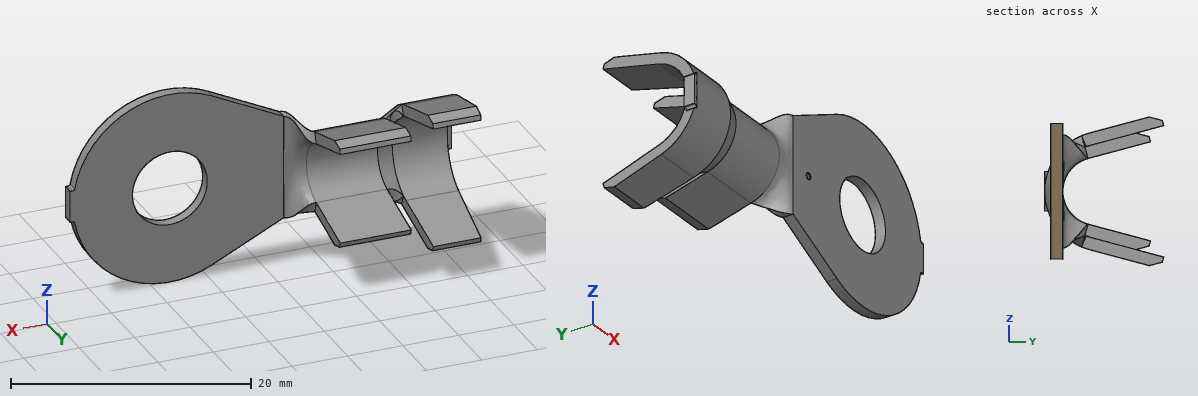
import math

import cadquery as cq

SHEET = 1.02

RING_RADIUS = 8.72
STUD_HOLE_RADIUS = 3.37
TONGUE_START_X = -10.26
TONGUE_START_HALF_WIDTH = 4.71
DIMPLE_X = -7.95
DIMPLE_RADIUS = 0.31
DIMPLE_DEPTH = 0.1

RING_TAB_END_X = 9.0
BARREL_TAB_END_X = -25.61
TAB_HALF_WIDTH = 1.43
TAB_ROOT_FILLET = 0.22
TAB_OVERLAP = 0.1

LEG_TILT = 15.0
LEG_ARC_ANGLE = 90.0 - LEG_TILT
TIP_BEVEL_ANGLE = 30.0
TIP_BEVEL_LENGTH = 1.13

WIRE_START_X = -18.71
WIRE_END_X = -12.31
WIRE_RADIUS = 3.84
WIRE_FLOOR_Y = 0.0
WIRE_TIP_Y = 8.31

INSULATION_END_X = -20.25
INSULATION_RADIUS = 5.03
INSULATION_FLOOR_Y = -0.5
INSULATION_TIP_Y = 9.41
INSULATION_FLOOR_FRONT_X = -25.3
INSULATION_TIP_FRONT_X = -24.55

SADDLE_FRONT_ARC_ANGLE = 67.0
SCALLOP_RADIUS = 0.93
SCALLOP_X = -19.6
SCALLOP_BOTTOM_Y = 2.7

NECK_STATIONS = [
    (WIRE_END_X, WIRE_RADIUS * math.sin(math.radians(LEG_ARC_ANGLE)), LEG_ARC_ANGLE),
    (-11.5, 4.1, 49.7),
    (-11.0, 4.6, 19.6),
    (TONGUE_START_X, TONGUE_START_HALF_WIDTH, 0.5),
]


def arc_point(radius, center_y, degrees):
    """Point (y, z) on a circle, the angle measured from the floor (-Y) toward +Z."""
    angle = math.radians(degrees)
    return (center_y - radius * math.cos(angle), radius * math.sin(angle))


def mirrored(point):
    return (point[0], -point[1])


def moved(point, length, degrees):
    """Point (y, z) shifted by a length along a direction measured from +Y toward +Z."""
    angle = math.radians(degrees)
    return (point[0] + length * math.cos(angle), point[1] + length * math.sin(angle))


def trough_section(workplane, radius, floor_y, half_angle):
    """Closed arc band of sheet thickness, symmetric about the XY plane."""
    center_y = floor_y + radius
    inner_radius = radius - SHEET
    outer_end = arc_point(radius, center_y, half_angle)
    inner_end = arc_point(inner_radius, center_y, half_angle)
    return (
        workplane.moveTo(*mirrored(outer_end))
        .threePointArc((floor_y, 0), outer_end)
        .lineTo(*inner_end)
        .threePointArc((floor_y + SHEET, 0), mirrored(inner_end))
        .close()
    )


def barrel(start_x, end_x, radius, floor_y, tip_y):
    """Open barrel: round floor and two tilted legs with outside bevels at the tips."""
    center_y = floor_y + radius
    outer_end = arc_point(radius, center_y, LEG_ARC_ANGLE)
    inner_end = arc_point(radius - SHEET, center_y, LEG_ARC_ANGLE)
    leg_length = (tip_y - inner_end[0]) / math.cos(math.radians(LEG_TILT))
    bevel_run = TIP_BEVEL_LENGTH * math.cos(math.radians(TIP_BEVEL_ANGLE))
    inner_tip = moved(inner_end, leg_length, LEG_TILT)
    bevel_start = moved(outer_end, leg_length - bevel_run, LEG_TILT)
    bevel_end = moved(bevel_start, TIP_BEVEL_LENGTH, LEG_TILT - TIP_BEVEL_ANGLE)
    return (
        cq.Workplane("YZ", origin=(start_x, 0, 0))
        .moveTo(*mirrored(outer_end))
        .threePointArc((floor_y, 0), outer_end)
        .lineTo(*bevel_start)
        .lineTo(*bevel_end)
        .lineTo(*inner_tip)
        .lineTo(*inner_end)
        .threePointArc((floor_y + SHEET, 0), mirrored(inner_end))
        .lineTo(*mirrored(inner_tip))
        .lineTo(*mirrored(bevel_end))
        .lineTo(*mirrored(bevel_start))
        .close()
        .extrude(end_x - start_x)
    )


def insulation_barrel():
    """Barrel whose front end leans back toward the leg tips."""
    body = barrel(
        INSULATION_FLOOR_FRONT_X,
        INSULATION_END_X,
        INSULATION_RADIUS,
        INSULATION_FLOOR_Y,
        INSULATION_TIP_Y,
    )
    waste = (
        cq.Workplane("XY")
        .polyline([
            (INSULATION_FLOOR_FRONT_X, INSULATION_FLOOR_Y),
            (INSULATION_TIP_FRONT_X, INSULATION_TIP_Y),
            (INSULATION_FLOOR_FRONT_X, INSULATION_TIP_Y),
        ])
        .close()
        .extrude(2 * INSULATION_RADIUS, both=True)
    )
    return body.cut(waste)


def saddle():
    """Trough joining the barrels, with scalloped upper edges."""
    section = trough_section(
        cq.Workplane("YZ", origin=(INSULATION_END_X, 0, 0)),
        INSULATION_RADIUS,
        INSULATION_FLOOR_Y,
        SADDLE_FRONT_ARC_ANGLE,
    )
    section = section.workplane(offset=WIRE_START_X - INSULATION_END_X)
    section = trough_section(section, WIRE_RADIUS, WIRE_FLOOR_Y, LEG_ARC_ANGLE)
    scallop = (
        cq.Workplane("XY")
        .center(SCALLOP_X, SCALLOP_BOTTOM_Y + SCALLOP_RADIUS)
        .circle(SCALLOP_RADIUS)
        .extrude(2 * INSULATION_RADIUS, both=True)
    )
    return section.loft(ruled=True).cut(scallop)


def neck():
    """Smooth transition from the round wire barrel to the flat tongue."""
    previous_x = NECK_STATIONS[0][0]
    section = cq.Workplane("YZ", origin=(previous_x, 0, 0))
    for x, half_width, half_angle in NECK_STATIONS:
        if x > previous_x:
            section = section.workplane(offset=x - previous_x)
        radius = half_width / math.sin(math.radians(half_angle))
        section = trough_section(section, radius, WIRE_FLOOR_Y, half_angle)
        previous_x = x
    return section.loft()


def extrude_from_floor(sketch, floor_y):
    """Extrude an XZ sketch one sheet thickness toward +Y, starting at floor_y."""
    return sketch.extrude(-SHEET).translate((0, floor_y, 0))


def tongue():
    """Flat ring with sides tangent to its round end, stud hole and small dimple."""
    corner_distance = math.hypot(TONGUE_START_X, TONGUE_START_HALF_WIDTH)
    corner_direction = math.atan2(TONGUE_START_HALF_WIDTH, TONGUE_START_X)
    tangent_direction = corner_direction - math.acos(RING_RADIUS / corner_distance)
    tangent_x = RING_RADIUS * math.cos(tangent_direction)
    tangent_z = RING_RADIUS * math.sin(tangent_direction)
    outline = (
        cq.Workplane("XZ")
        .moveTo(TONGUE_START_X, -TONGUE_START_HALF_WIDTH)
        .lineTo(tangent_x, -tangent_z)
        .threePointArc((RING_RADIUS, 0), (tangent_x, tangent_z))
        .lineTo(TONGUE_START_X, TONGUE_START_HALF_WIDTH)
        .close()
    )
    hole = extrude_from_floor(cq.Workplane("XZ").circle(STUD_HOLE_RADIUS), WIRE_FLOOR_Y)
    dimple = (
        cq.Workplane("XZ").center(DIMPLE_X, 0).circle(DIMPLE_RADIUS).extrude(-DIMPLE_DEPTH)
    )
    return extrude_from_floor(outline, WIRE_FLOOR_Y).cut(hole).cut(dimple)


def carrier_tab(end_x, root_x, floor_y):
    """Cut-off tab from root_x to end_x with filleted root corners."""
    outward = math.copysign(1, end_x - root_x)
    inside_x = root_x - outward * TAB_OVERLAP
    fillet_end_x = root_x + outward * TAB_ROOT_FILLET
    root_half_width = TAB_HALF_WIDTH + TAB_ROOT_FILLET
    to_arc_middle = TAB_ROOT_FILLET * (1 - math.sqrt(0.5))
    arc_middle = (root_x + outward * to_arc_middle, TAB_HALF_WIDTH + to_arc_middle)
    outline = (
        cq.Workplane("XZ")
        .moveTo(inside_x, -root_half_width)
        .lineTo(root_x, -root_half_width)
        .threePointArc(mirrored(arc_middle), (fillet_end_x, -TAB_HALF_WIDTH))
        .lineTo(end_x, -TAB_HALF_WIDTH)
        .lineTo(end_x, TAB_HALF_WIDTH)
        .lineTo(fillet_end_x, TAB_HALF_WIDTH)
        .threePointArc(arc_middle, (root_x, root_half_width))
        .lineTo(inside_x, root_half_width)
        .close()
    )
    return extrude_from_floor(outline, floor_y)


ring_tab_root_x = math.sqrt(RING_RADIUS**2 - (TAB_HALF_WIDTH + TAB_ROOT_FILLET) ** 2)

result = (
    tongue()
    .union(neck())
    .union(barrel(WIRE_START_X, WIRE_END_X, WIRE_RADIUS, WIRE_FLOOR_Y, WIRE_TIP_Y))
    .union(saddle())
    .union(insulation_barrel())
    .union(carrier_tab(RING_TAB_END_X, ring_tab_root_x, WIRE_FLOOR_Y))
    .union(carrier_tab(BARREL_TAB_END_X, INSULATION_FLOOR_FRONT_X, INSULATION_FLOOR_Y))
)